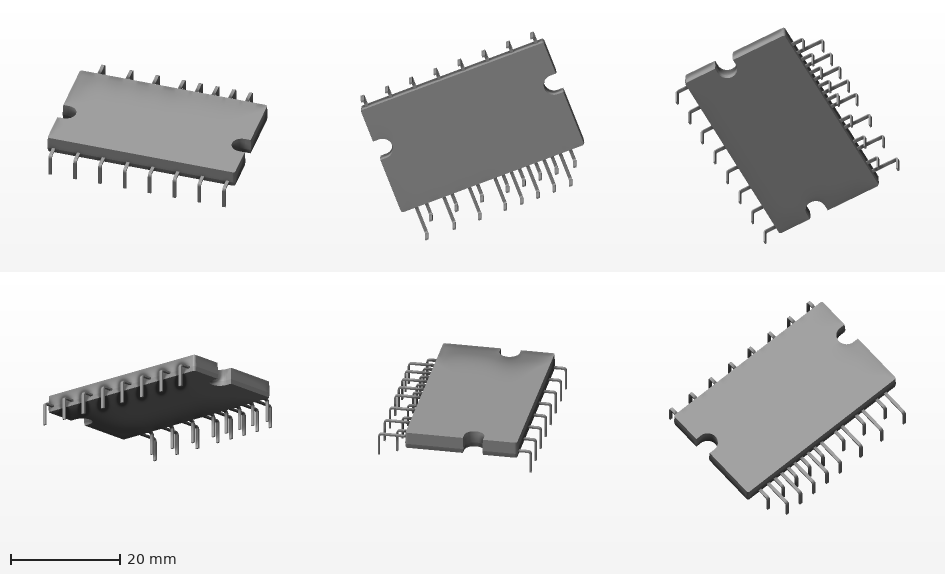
import cadquery as cq
import math

BODY_LENGTH = 36.0
BODY_WIDTH = 21.0
UPPER_HEIGHT = 2.25
LOWER_HEIGHT = 0.85
DRAFT_INSET = 0.1
CORNER_RADIUS = 0.5

NOTCH_RADIUS = 1.75
NOTCH_DEPTH = 3.0
NOTCH_Y = -2.2

LEAD_WIDTH = 0.6
LEAD_THICKNESS = 0.32
LEAD_BEND_RADIUS = 0.7
LEAD_EMBED = 0.35
OVERALL_HEIGHT = 6.4
LEAD_TIP_Z = UPPER_HEIGHT - OVERALL_HEIGHT

OVERALL_WIDTH = 28.9
LONG_LEAD_REACH = 16.02
SHORT_LEAD_REACH = 13.0
FRONT_LEAD_REACH = OVERALL_WIDTH - LONG_LEAD_REACH

FRONT_LEAD_COUNT = 8
FRONT_FIRST_X = -16.65
FRONT_LAST_X = 16.55

BACK_END_X = 15.1
BACK_INNER_X = 13.1
PAIR_COUNT = 3
PAIR_PITCH = 5.0
FINE_STEPS = 7
FINE_PITCH = (2 * BACK_INNER_X - PAIR_COUNT * PAIR_PITCH) / FINE_STEPS


def body_outline():
    """Body outline at the parting plane: rounded rectangle with two side notches."""
    plate = cq.Sketch().rect(BODY_LENGTH, BODY_WIDTH).vertices().fillet(CORNER_RADIUS).reset()
    slot_straight = 2 * (NOTCH_DEPTH - NOTCH_RADIUS)
    sides = [(-BODY_LENGTH / 2, NOTCH_Y), (BODY_LENGTH / 2, NOTCH_Y)]
    return plate.push(sides).slot(slot_straight, 2 * NOTCH_RADIUS, mode="s").reset()


def body_half(height, direction):
    """One half of the body, drafted inwards away from the parting plane."""
    draft_angle = math.degrees(math.atan(DRAFT_INSET / height))
    return cq.Workplane("XY").placeSketch(body_outline()).extrude(direction * height, taper=draft_angle)


def lead(x, reach, side):
    """Lead leaving the body on the +Y (side=1) or -Y (side=-1) face and bending down."""
    top = LEAD_THICKNESS / 2
    root = BODY_WIDTH / 2 - LEAD_EMBED
    inner = reach - LEAD_THICKNESS
    bend_y = reach - LEAD_BEND_RADIUS
    bend_z = top - LEAD_BEND_RADIUS
    inner_radius = LEAD_BEND_RADIUS - LEAD_THICKNESS
    diagonal = math.sqrt(0.5)

    def point(y, z):
        return (side * y, z)

    def bend_middle(radius):
        return point(bend_y + radius * diagonal, bend_z + radius * diagonal)

    return (
        cq.Workplane("YZ", origin=(x, 0, 0))
        .moveTo(*point(root, top))
        .lineTo(*point(bend_y, top))
        .threePointArc(bend_middle(LEAD_BEND_RADIUS), point(reach, bend_z))
        .lineTo(*point(reach, LEAD_TIP_Z))
        .lineTo(*point(inner, LEAD_TIP_Z))
        .lineTo(*point(inner, bend_z))
        .threePointArc(bend_middle(inner_radius), point(bend_y, -top))
        .lineTo(*point(root, -top))
        .close()
        .extrude(LEAD_WIDTH / 2, both=True)
    )


def front_leads():
    """Evenly spaced leads on the -Y face."""
    pitch = (FRONT_LAST_X - FRONT_FIRST_X) / (FRONT_LEAD_COUNT - 1)
    return [lead(FRONT_FIRST_X + i * pitch, FRONT_LEAD_REACH, -1) for i in range(FRONT_LEAD_COUNT)]


def back_leads():
    """Alternating long and short leads on the +Y face, starting with a long one."""
    positions = [-BACK_END_X, -BACK_INNER_X]
    for pair in range(1, PAIR_COUNT + 1):
        short_x = -BACK_INNER_X + pair * PAIR_PITCH
        positions += [short_x - FINE_PITCH, short_x]
    run_start = positions[-1]
    positions += [run_start + step * FINE_PITCH for step in range(1, FINE_STEPS + 1)]
    positions.append(BACK_END_X)
    reaches = (LONG_LEAD_REACH, SHORT_LEAD_REACH)
    return [lead(x, reaches[i % 2], 1) for i, x in enumerate(positions)]


result = body_half(UPPER_HEIGHT, 1).union(body_half(LOWER_HEIGHT, -1))
for one_lead in front_leads() + back_leads():
    result = result.union(one_lead)